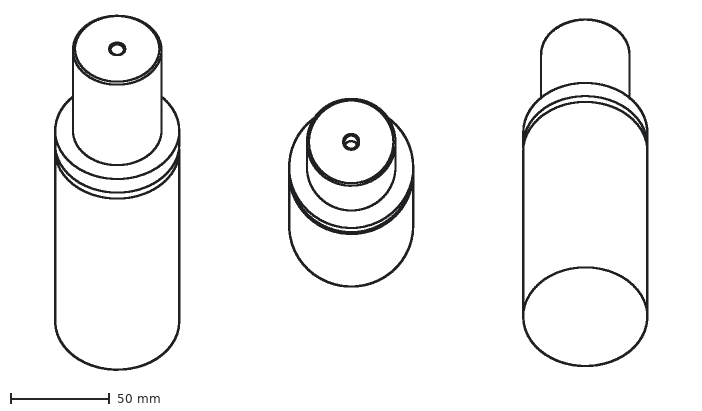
import cadquery as cq
import math

total_height = 220.0
body_diameter = 63.0
collar_top = 154.0

rod_diameter = 44.9
rod_chamfer = 1.0

groove_radius = 2.5
groove_height = 140.5

hole_diameter = 6.8
hole_mouth_diameter = 8.1
hole_depth = 15.5
drill_point_angle = 118.0


def make_body():
    body = cq.Workplane("XY").circle(body_diameter / 2).extrude(collar_top)
    rod = (
        cq.Workplane("XY")
        .circle(rod_diameter / 2)
        .extrude(total_height)
        .faces(">Z")
        .chamfer(rod_chamfer)
    )
    return body.union(rod)


def make_groove():
    return cq.Workplane("XY").add(
        cq.Solid.makeTorus(
            body_diameter / 2, groove_radius, cq.Vector(0, 0, groove_height), cq.Vector(0, 0, 1)
        )
    )


def make_hole():
    radius = hole_diameter / 2
    mouth_radius = hole_mouth_diameter / 2
    mouth_depth = mouth_radius - radius
    floor = total_height - hole_depth
    tip = floor - radius / math.tan(math.radians(drill_point_angle / 2))
    return (
        cq.Workplane("XZ")
        .moveTo(0, tip)
        .lineTo(radius, floor)
        .lineTo(radius, total_height - mouth_depth)
        .lineTo(mouth_radius, total_height)
        .lineTo(0, total_height)
        .close()
        .revolve(360, (0, 0, 0), (0, 1, 0))
    )


result = make_body().cut(make_groove()).cut(make_hole())